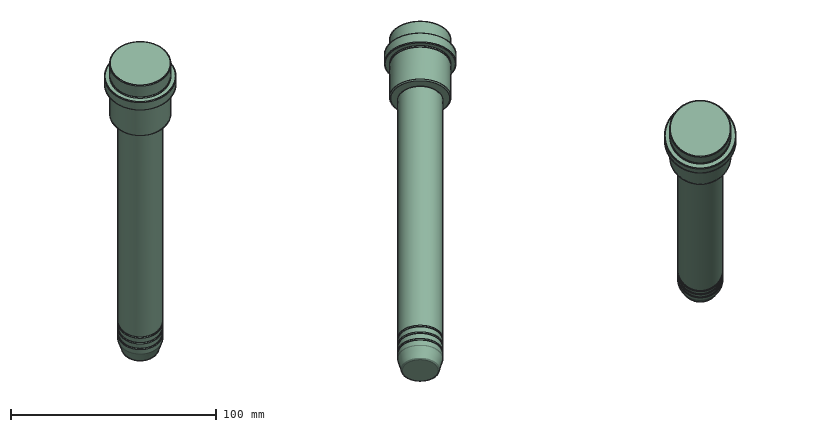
import cadquery as cq
import math

length = 201.0
shaft_diameter = 22.1
head_diameter = 30.0
flange_diameter = 35.0

flange_top_depth = 9.0
flange_height = 6.0
head_height = 36.0
head_lower_chamfer = 0.6
head_top_chamfer = 0.5
flange_chamfer = 0.5

flange_relief_width = 1.0
flange_relief_depth = 0.5
neck_diameter = 20.0
neck_height = 1.0

tip_height = 7.0
tip_angle = 15.0
tip_edge_radius = 0.6
groove_count = 3
first_groove_z = 10.7
groove_pitch = 4.0
groove_width = 1.0
groove_depth = 0.5


def disc(diameter, bottom, top):
    """Solid cylinder on the Z axis between two heights."""
    return cq.Workplane("XY").workplane(offset=bottom).circle(diameter / 2).extrude(top - bottom)


def vee_ring(outer_diameter, depth, width, middle):
    """Ring cutter with a V-shaped section, pointing inward at the given height."""
    radius = outer_diameter / 2
    section = [(radius, middle - width / 2), (radius - depth, middle), (radius, middle + width / 2)]
    return cq.Workplane("XZ").polyline(section).close().revolve(360, (0, 0, 0), (0, 1, 0))


def make_shaft(top):
    """Shaft with a tapered, rounded tip."""
    radius = shaft_diameter / 2
    tip_radius = radius - tip_height * math.tan(math.radians(tip_angle))
    profile = [(0, 0), (tip_radius, 0), (radius, tip_height), (radius, top), (0, top)]
    shaft = cq.Workplane("XZ").polyline(profile).close().revolve(360, (0, 0, 0), (0, 1, 0))
    return shaft.faces("<Z").edges().fillet(tip_edge_radius)


head_bottom = length - head_height
flange_top = length - flange_top_depth
flange_bottom = flange_top - flange_height
shaft_top = head_bottom - neck_height

shaft = make_shaft(shaft_top)
neck = disc(neck_diameter, shaft_top, head_bottom)
head = disc(head_diameter, head_bottom, length)
head = head.faces("<Z").edges().chamfer(head_lower_chamfer)
head = head.faces(">Z").edges().chamfer(head_top_chamfer)
flange = disc(flange_diameter, flange_bottom, flange_top).faces("|Z").edges().chamfer(flange_chamfer)
result = shaft.union(neck).union(head).union(flange)

half_relief = flange_relief_width / 2
for relief_z in (flange_top + half_relief, flange_bottom - half_relief):
    result = result.cut(vee_ring(head_diameter, flange_relief_depth, flange_relief_width, relief_z))

for index in range(groove_count):
    groove_z = first_groove_z + index * groove_pitch
    result = result.cut(vee_ring(shaft_diameter, groove_depth, groove_width, groove_z))